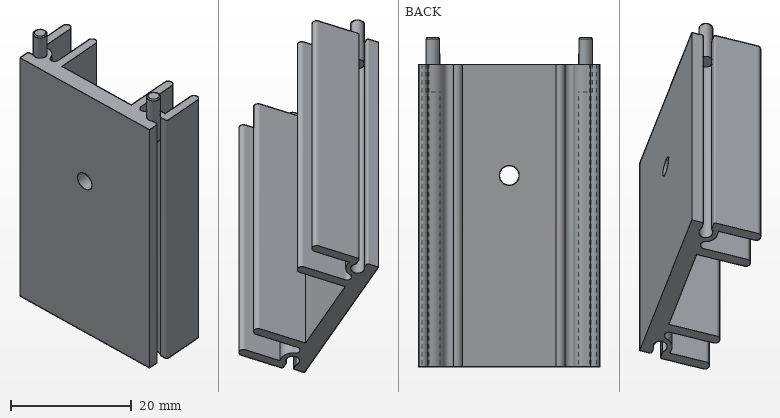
import cadquery as cq
import math

overall_width = 30.0
overall_depth = 12.0
overall_height = 54.5
body_height = 50.05
plate_width = 28.9
plate_thickness = 2.95
fin_thickness = 1.5
slot_edge_radius = 0.3

pin_x = 12.65
pin_y = 3.0
pin_radius = 1.15
pin_insertion = 4.5
pin_chamfer = 0.2
boss_radius = 1.95
slot_bottom = 2.05
slot_top = 3.7

hole_diameter = 3.2
hole_z = 31.65

valley_radius = fin_thickness / 2
valley_y = plate_thickness + valley_radius
center_distance = boss_radius + valley_radius
valley_x = pin_x - math.sqrt(center_distance**2 - (valley_y - pin_y)**2)

fin_radius = fin_thickness / 2
fin_shoulder_y = overall_depth - fin_radius
outer_fin_outside = overall_width / 2
outer_fin_inside = outer_fin_outside - fin_thickness
inner_fin_outside = valley_x - valley_radius
inner_fin_inside = inner_fin_outside - fin_thickness


def point_on_circle(center_x, center_y, radius, angle):
    return center_x + radius * math.cos(angle), center_y + radius * math.sin(angle)


def half_profile():
    """Outline of the +X half, with the pin groove left open to the outside."""
    tangent_angle = math.atan2(valley_y - pin_y, valley_x - pin_x)
    boss_end = point_on_circle(pin_x, pin_y, boss_radius, tangent_angle)
    boss_middle = point_on_circle(pin_x, pin_y, boss_radius, (math.pi / 2 + tangent_angle) / 2)
    mouth_top = pin_x + math.sqrt(pin_radius**2 - (slot_top - pin_y)**2)
    mouth_bottom = pin_x + math.sqrt(pin_radius**2 - (slot_bottom - pin_y)**2)
    return (
        cq.Workplane("XY")
        .lineTo(plate_width / 2, 0)
        .lineTo(plate_width / 2, slot_bottom - slot_edge_radius)
        .radiusArc((plate_width / 2 - slot_edge_radius, slot_bottom), -slot_edge_radius)
        .lineTo(mouth_bottom, slot_bottom)
        .threePointArc((pin_x - pin_radius, pin_y), (mouth_top, slot_top))
        .lineTo(outer_fin_outside - slot_edge_radius, slot_top)
        .radiusArc((outer_fin_outside, slot_top + slot_edge_radius), -slot_edge_radius)
        .lineTo(outer_fin_outside, fin_shoulder_y)
        .threePointArc((outer_fin_outside - fin_radius, overall_depth), (outer_fin_inside, fin_shoulder_y))
        .lineTo(outer_fin_inside, pin_y + boss_radius)
        .lineTo(pin_x, pin_y + boss_radius)
        .threePointArc(boss_middle, boss_end)
        .threePointArc((valley_x, plate_thickness), (inner_fin_outside, valley_y))
        .lineTo(inner_fin_outside, fin_shoulder_y)
        .threePointArc((inner_fin_outside - fin_radius, overall_depth), (inner_fin_inside, fin_shoulder_y))
        .lineTo(inner_fin_inside, plate_thickness)
        .lineTo(0, plate_thickness)
        .close()
    )


def pin():
    """Pin seated in the top of the groove, chamfered at its free end."""
    pin_base = body_height - pin_insertion
    return (
        cq.Workplane("XY", origin=(pin_x, pin_y, pin_base))
        .circle(pin_radius)
        .extrude(overall_height - pin_base)
        .faces(">Z")
        .chamfer(pin_chamfer)
    )


half = half_profile().extrude(body_height).union(pin())
heat_sink = half.union(half.mirror("YZ"))

mounting_hole = (
    cq.Workplane("XZ")
    .center(0, hole_z)
    .circle(hole_diameter / 2)
    .extrude(-plate_thickness)
)
result = heat_sink.cut(mounting_hole)